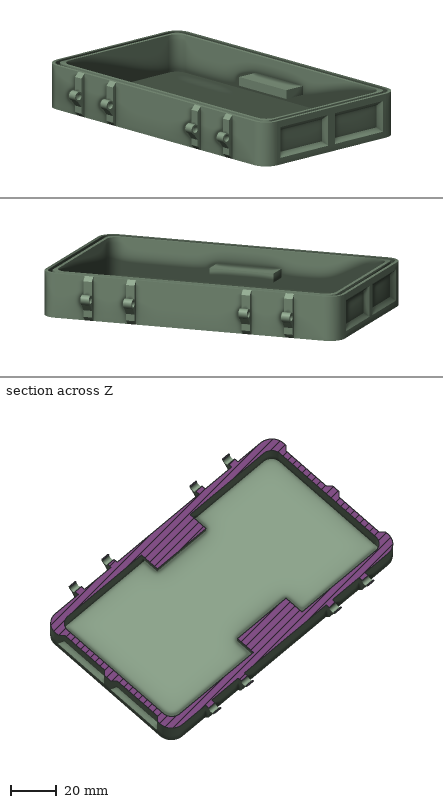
import cadquery as cq

length = 140.0
width = 80.0
height = 20.0
corner_radius = 7.0
wall = 5.0
floor = 3.0
cavity_corner_radius = 5.0

groove_width = 2.0
groove_depth = 2.0
groove_outer_offset = (wall - groove_width) / 2
groove_inner_offset = groove_outer_offset + groove_width

ledge_length = 30.0
ledge_depth = 10.0
ledge_thickness = 4.0

recess_margin_z = 3.0
recess_margin_y = 2.0
recess_bevel = 2.0
recess_depth = 2.0

lug_width = 4.0
lug_thickness = 2.0
lug_positions = (-47.0, -27.0, 27.0, 47.0)
pin_diameter = 3.0
eye_radius = 2.25
support_foot_z = 5.0
support_tip_drop = 2.15
support_tip_reach = (eye_radius**2 - support_tip_drop**2) ** 0.5


def rounded_block(offset, bottom, top, radius):
    """Rounded block inset from the body outline, between two heights."""
    return (
        cq.Workplane("XY")
        .workplane(offset=bottom)
        .rect(length - 2 * offset, width - 2 * offset)
        .extrude(top - bottom)
        .edges("|Z")
        .fillet(radius)
    )


def make_tray():
    """Open box with rounded corners."""
    body = rounded_block(0, 0, height, corner_radius)
    return body.cut(rounded_block(wall, floor, height, cavity_corner_radius))


def make_groove():
    """Ring cut into the rim, midway across the wall."""
    bottom = height - groove_depth
    outer = rounded_block(groove_outer_offset, bottom, height, corner_radius - groove_outer_offset)
    inner = rounded_block(groove_inner_offset, bottom, height, corner_radius - groove_inner_offset)
    return outer.cut(inner)


def make_ledge(side):
    """Plain ledge on the inner face of the long wall at the given side."""
    center_y = side * (width / 2 - wall - ledge_depth / 2)
    return (
        cq.Workplane("XY")
        .workplane(offset=(height - ledge_thickness) / 2)
        .center(0, center_y)
        .rect(ledge_length, ledge_depth)
        .extrude(ledge_thickness)
    )


def make_recess(end, side):
    """Recess narrowing inward from the short wall at the given end."""
    recess_height = height - 2 * recess_margin_z
    flat_half_width = width / 2 - corner_radius
    recess_width = flat_half_width - 2 * recess_margin_y
    center_y = side * flat_half_width / 2
    return (
        cq.Workplane(cq.Plane((end * length / 2, center_y, height / 2), (0, 1, 0), (-end, 0, 0)))
        .rect(recess_width, recess_height)
        .workplane(offset=recess_depth)
        .rect(recess_width - 2 * recess_bevel, recess_height - 2 * recess_bevel)
        .loft()
    )


def make_lug(center_x):
    """Hinge lug on the +Y wall: a chamfered rib carrying a pin eye with a sloping support."""
    wall_y = width / 2
    rib_y = wall_y + lug_thickness
    eye_y = rib_y + pin_diameter / 2
    eye_z = height / 2

    side_plane = cq.Workplane("YZ").workplane(offset=center_x - lug_width / 2)
    rib = (
        side_plane.moveTo(wall_y, 0)
        .lineTo(rib_y, lug_thickness)
        .lineTo(rib_y, height - lug_thickness)
        .lineTo(wall_y, height)
        .close()
        .extrude(lug_width)
    )
    support = (
        side_plane.moveTo(rib_y, support_foot_z)
        .lineTo(eye_y + support_tip_reach, eye_z - support_tip_drop)
        .lineTo(eye_y, eye_z)
        .lineTo(rib_y, eye_z)
        .close()
        .extrude(lug_width)
    )
    eye = side_plane.center(eye_y, eye_z).circle(eye_radius).extrude(lug_width)
    pin_hole = side_plane.center(eye_y, eye_z).circle(pin_diameter / 2).extrude(lug_width)
    return eye.union(support).cut(pin_hole).union(rib)


result = make_tray().cut(make_groove())
for side in (-1, 1):
    result = result.union(make_ledge(side))
    for end in (-1, 1):
        result = result.cut(make_recess(end, side))
for lug_x in lug_positions:
    lug = make_lug(lug_x)
    result = result.union(lug).union(lug.mirror("XZ"))